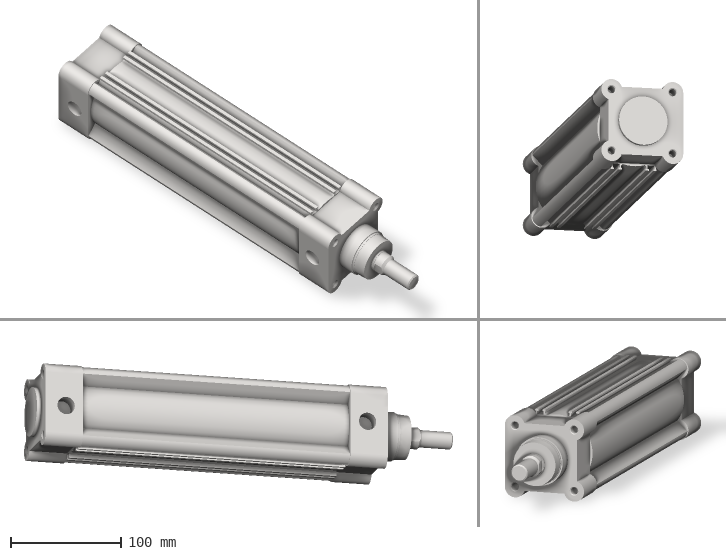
import cadquery as cq
import math

total_length = 394.0
boss_length = 4.0
boss_radius = 22.5
cap_length = 35.0
tube_length = 250.5
corner_offset = 28.5
cap_size = 76.0
cap_core = 62.5

screw_radius = 3.35
screw_depth = 15.8
screw_chamfer = 0.8
port_diameter = 16.0
port_depth = 15.8
port_offset = 2.5
port_from_rear_face = 19.5
port_from_front_face = 19.0

neck_length = 14.0
groove_length = 2.0
groove_radius = 21.3
collar_length = 11.0
collar_start_radius = 21.0
collar_end_radius = 20.0

barrel_radius = 34.0
lobe_radius = 8.5
lobe_width = 11.5
slot_centre = 16.0
slot_floor = 32.5
rail_top = 37.5
lip_thickness = 1.5
lip_inner = 2.0
lip_outer = 5.0
stem_inner = 3.0
stem_outer = 4.5
foot_outer = 7.0
foot_low = 31.0
stem_low = 34.0

rod_radius = 10.0
rod_ring_radius = 10.2
rod_ring_length = 2.0
across_flats = 17.0
flat_gap = 3.0
rod_shoulder = 10.2
rod_taper = 2.5
thread_radius = 8.0
thread_chamfer = 1.0

cap_half_size = cap_size / 2
cap_corner_radius = cap_half_size - corner_offset
rear_cap_start = boss_length
tube_start = rear_cap_start + cap_length
front_cap_start = tube_start + tube_length
front_cap_end = front_cap_start + cap_length
neck_end = front_cap_end + neck_length
groove_end = neck_end + groove_length
collar_end = groove_end + collar_length
corners = [(y, z) for y in (-corner_offset, corner_offset) for z in (-corner_offset, corner_offset)]


def section(x):
    """Workplane across the cylinder axis: local x is Y, local y is Z."""
    return cq.Workplane("YZ", origin=(x, 0, 0))


def disc(x, radius, length):
    return section(x).circle(radius).extrude(length)


def cap_block(x):
    """Square block with four round corner lobes; the -Y side is filled out flush with the lobes."""
    lobes = section(x).pushPoints(corners).circle(cap_corner_radius).extrude(cap_length)
    core = section(x).rect(cap_core, cap_core).extrude(cap_length)
    port_side = (
        section(x)
        .center(-(cap_half_size + corner_offset) / 2, 0)
        .rect(cap_half_size - corner_offset, 2 * corner_offset)
        .extrude(cap_length)
    )
    return core.union(lobes).union(port_side)


def screw_holes(face_x, inward):
    """Four blind, chamfered holes that run from face_x; inward is +1 or -1 along X."""
    mouth_radius = screw_radius + screw_chamfer
    outline = [
        (0, 0),
        (0, mouth_radius),
        (inward * screw_chamfer, screw_radius),
        (inward * screw_depth, screw_radius),
        (inward * screw_depth, 0),
    ]
    hole = cq.Workplane("XY").polyline(outline).close().revolve(360, (0, 0, 0), (1, 0, 0))
    holes = cq.Workplane("XY")
    for y, z in corners:
        holes = holes.union(hole.translate((face_x, y, z)))
    return holes


def port(x, z):
    """Blind air port drilled into the -Y side."""
    return cq.Workplane("XZ", origin=(x, -cap_half_size, z)).circle(port_diameter / 2).extrude(-port_depth)


def make_rear_cap():
    cap = cap_block(rear_cap_start).union(disc(0, boss_radius, boss_length))
    cap = cap.cut(screw_holes(rear_cap_start, 1))
    return cap.cut(port(rear_cap_start + port_from_rear_face, -port_offset))


def make_front_cap():
    neck = (
        disc(front_cap_end, boss_radius, neck_length)
        .union(disc(neck_end, groove_radius, groove_length))
    )
    collar = (
        section(groove_end)
        .circle(collar_start_radius)
        .workplane(offset=collar_length)
        .circle(collar_end_radius)
        .loft()
    )
    cap = cap_block(front_cap_start).union(neck).union(collar)
    cap = cap.cut(screw_holes(front_cap_end, -1))
    return cap.cut(port(front_cap_end - port_from_front_face, port_offset))


def tube_lobe(angle):
    """Round-ended rib on the diagonal at the given angle about the axis."""
    half_width = lobe_width / 2
    arc_centre = corner_offset * math.sqrt(2)
    flank_end = arc_centre + math.sqrt(lobe_radius**2 - half_width**2)
    return (
        section(tube_start)
        .moveTo(0, -half_width)
        .lineTo(flank_end, -half_width)
        .threePointArc((arc_centre + lobe_radius, 0), (flank_end, half_width))
        .lineTo(0, half_width)
        .close()
        .extrude(tube_length)
        .rotate((0, 0, 0), (1, 0, 0), angle)
    )


def slot_rails():
    """One T-slot on the +Z side at +Y: two rails with lips and sloping feet on a common floor."""
    half_outline = [
        (0, slot_floor),
        (stem_inner, slot_floor),
        (stem_inner, rail_top - lip_thickness),
        (lip_inner, rail_top - lip_thickness),
        (lip_inner, rail_top),
        (lip_outer, rail_top),
        (lip_outer, rail_top - lip_thickness),
        (stem_outer, rail_top - lip_thickness),
        (stem_outer, stem_low),
        (foot_outer, foot_low),
        (foot_outer, corner_offset / 2),
        (0, corner_offset / 2),
    ]
    half = section(tube_start).polyline(half_outline).close().extrude(tube_length)
    return half.union(half.mirror("XZ")).translate((0, slot_centre, 0))


def make_tube():
    tube = disc(tube_start, barrel_radius, tube_length)
    for angle in (45, 135, 225, 315):
        tube = tube.union(tube_lobe(angle))
    rails = slot_rails()
    rails = rails.union(rails.mirror("XZ"))
    return tube.union(rails).union(rails.mirror("XY"))


def make_rod():
    taper_start = collar_end + rod_shoulder
    outline = [
        (collar_end, 0),
        (collar_end, rod_ring_radius),
        (collar_end + rod_ring_length, rod_ring_radius),
        (collar_end + rod_ring_length, rod_radius),
        (taper_start, rod_radius),
        (taper_start + rod_taper, thread_radius),
        (total_length - thread_chamfer, thread_radius),
        (total_length, thread_radius - thread_chamfer),
        (total_length, 0),
    ]
    rod = cq.Workplane("XY").polyline(outline).close().revolve(360, (0, 0, 0), (1, 0, 0))
    flat_length = rod_shoulder + rod_taper - flat_gap
    flat_middle = collar_end + flat_gap + flat_length / 2
    for side in (-1, 1):
        flat_cut = cq.Workplane("XY").box(flat_length, rod_radius, 2 * rod_radius)
        rod = rod.cut(flat_cut.translate((flat_middle, side * (across_flats + rod_radius) / 2, 0)))
    return rod


rear_cap = make_rear_cap()
tube = make_tube()
front_cap = make_front_cap()
rod = make_rod()

result = cq.Compound.makeCompound([rear_cap.val(), tube.val(), front_cap.val(), rod.val()])